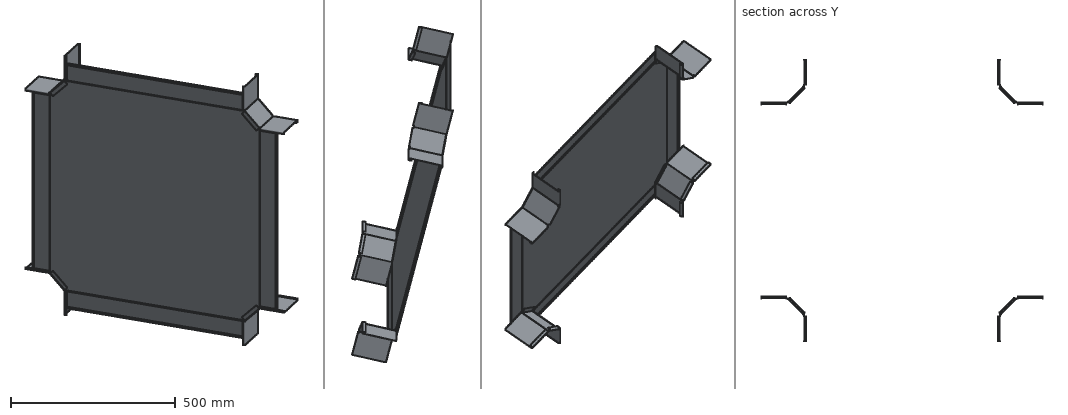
import cadquery as cq
import math

span = 854.0
height = 107.0
sheet = 1.3
quarter_turns = 4

channel_half = 298.0
corner_reach = 347.5
straight_foot = 7.0
diagonal_foot = 15.0
foot_radius = 2.0
hem_radius = 3.85
hem_depth = 10.0
foot_relief = 1.3
hem_relief = 3.0

panel_reach = 345.0
arm_reach = 405.0
arm_half_width = 289.5
shoulder_half_width = 294.0
step_run = 3.0
rim_width = 3.0


def quarter_turn(body, turn):
    """Body turned about the Y axis by a whole number of quarter turns."""
    return body.rotate((0, 0, 0), (0, 1, 0), 90 * turn)


def wall_web():
    """Upright sheet bent twice by 45 degrees, between the foot and hem bends."""
    end = span / 2
    inner_half = channel_half - sheet
    inner_reach = corner_reach - sheet * math.tan(math.pi / 8)
    return (
        cq.Workplane("XZ", origin=(0, foot_radius, 0))
        .polyline([
            (channel_half, end),
            (channel_half, corner_reach),
            (corner_reach, channel_half),
            (end, channel_half),
            (end, inner_half),
            (inner_reach, inner_half),
            (inner_half, inner_reach),
            (inner_half, end),
        ])
        .close()
        .extrude(-(height - foot_radius - hem_radius))
    )


def foot_section(plane, foot_width):
    """Quarter bend from the web into a flat foot; local x points into the part."""
    inner_radius = foot_radius - sheet
    bend_mid = foot_radius * (1 - math.sqrt(0.5))
    inner_mid = foot_radius - inner_radius * math.sqrt(0.5)
    return (
        cq.Workplane(plane)
        .moveTo(0, foot_radius)
        .threePointArc((bend_mid, bend_mid), (foot_radius, 0))
        .lineTo(foot_width, 0)
        .lineTo(foot_width, sheet)
        .lineTo(foot_radius, sheet)
        .threePointArc((inner_mid, inner_mid), (sheet, foot_radius))
        .close()
    )


def hem_section(plane):
    """Half-round hem from the web over to a lip that hangs down inside."""
    hem_width = 2 * hem_radius
    spring = height - hem_radius
    lip_end = height - hem_depth
    return (
        cq.Workplane(plane)
        .moveTo(0, spring)
        .threePointArc((hem_radius, height), (hem_width, spring))
        .lineTo(hem_width, lip_end)
        .lineTo(hem_width - sheet, lip_end)
        .lineTo(hem_width - sheet, spring)
        .threePointArc((hem_radius, height - sheet), (sheet, spring))
        .close()
    )


def section_plane(corner, direction):
    """Plane across a wall panel: local x points into the part and local y is +Y."""
    inward = cq.Vector(0, 1, 0).cross(direction)
    return cq.Plane(origin=corner, xDir=inward, normal=direction)


def corner_wall():
    """Wall of the corner at +X +Z, with a foot and a hem on each of its three panels."""
    corners = [
        cq.Vector(channel_half, 0, span / 2),
        cq.Vector(channel_half, 0, corner_reach),
        cq.Vector(corner_reach, 0, channel_half),
        cq.Vector(span / 2, 0, channel_half),
    ]
    foot_widths = [straight_foot, diagonal_foot, straight_foot]
    last_panel = len(foot_widths) - 1

    wall = wall_web()
    for panel, foot_width in enumerate(foot_widths):
        along = corners[panel + 1] - corners[panel]
        direction = along.normalized()
        bent_at_start = panel > 0
        bent_at_stop = panel < last_panel
        bends = bent_at_start + bent_at_stop

        foot_start = corners[panel] + direction * (foot_relief * bent_at_start)
        foot = foot_section(section_plane(foot_start, direction), foot_width)
        wall = wall.union(foot.extrude(along.Length - foot_relief * bends))

        hem_start = corners[panel] + direction * (hem_relief * bent_at_start)
        hem = hem_section(section_plane(hem_start, direction))
        wall = wall.union(hem.extrude(along.Length - hem_relief * bends))
    return wall


def floor_arm():
    """Arm toward +X: joggled down to lie level with the feet, its free edge joggled back up."""
    foot_level = panel_reach + step_run
    rim_start = arm_reach - rim_width
    rim_step = rim_start - step_run
    strip = (
        cq.Workplane("XY", origin=(0, 0, -shoulder_half_width))
        .polyline([
            (panel_reach, sheet),
            (foot_level, 0),
            (rim_step, 0),
            (rim_start, sheet),
            (arm_reach, sheet),
            (arm_reach, 2 * sheet),
            (rim_start, 2 * sheet),
            (rim_step, sheet),
            (foot_level, sheet),
            (panel_reach, 2 * sheet),
        ])
        .close()
        .extrude(2 * shoulder_half_width)
    )
    outline = (
        cq.Workplane("XZ")
        .polyline([
            (panel_reach, -shoulder_half_width),
            (foot_level, -shoulder_half_width),
            (foot_level, -arm_half_width),
            (arm_reach, -arm_half_width),
            (arm_reach, arm_half_width),
            (foot_level, arm_half_width),
            (foot_level, shoulder_half_width),
            (panel_reach, shoulder_half_width),
        ])
        .close()
        .extrude(-2 * sheet)
    )
    return strip.intersect(outline)


def floor_panel():
    """Centre panel resting on the diagonal feet, with four arms."""
    corner_cut = 2 * panel_reach - (channel_half + corner_reach - foot_radius * math.sqrt(2))
    panel = (
        cq.Workplane("XZ", origin=(0, sheet, 0))
        .rect(2 * panel_reach, 2 * panel_reach)
        .extrude(-sheet)
        .edges("|Y")
        .chamfer(corner_cut)
    )
    for turn in range(quarter_turns):
        panel = panel.union(quarter_turn(floor_arm(), turn))
    return panel


floor = floor_panel()
walls = [quarter_turn(corner_wall(), turn) for turn in range(quarter_turns)]

result = cq.Compound.makeCompound([floor.val(), *[wall.val() for wall in walls]])